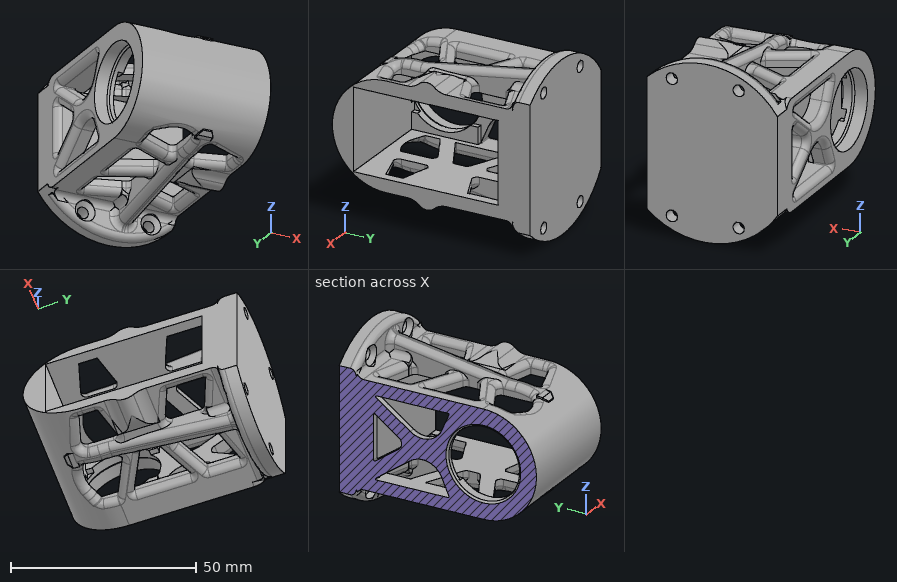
import cadquery as cq
import math

width = 39.0
total_length = 61.3
nose_radius = 16.55
rear_y = total_length - nose_radius
wall = 5.5
cavity_half_height = 12.5
cavity_front_y = -10.0
cavity_rear_y = 34.75
round_radius = 2.0
small_corner = 0.2

flange_radius = 26.0
flange_x = 21.6
flange_thickness = 5.5
flange_face_y = rear_y - flange_thickness
rear_corner_radius = 3.55
rear_corner_y = 35.75

screw_x_offset = 10.0
screw_z = 20.0
screw_diameter = 3.3
screw_head_diameter = 6.0

bearing_radius = 11.5
bore_lip_radius = 11.0
bearing_depth = 3.8
bore_chamfer_length = 0.5
bore_pad_thickness = 1.55
bore_pad_z = 7.35
bore_pad_rear_y = 10.6

rib_x = 23.25
rib_width = 4.6
rib_left = rib_x - rib_width / 2
rib_right = rib_x + rib_width / 2
rib_rear_height = 22.4
rib_front_y = -6.75
rib_front_height = 15.0
rib_tip_top = (-8.6, 14.7)
rib_tip_end = (-9.9, 13.6)
rib_tip_width = 2.6
rib_root_start_y = 31.75

boss_y = 12.7
boss_height = 2.3
boss_half_width = 6.0
boss_crest_radius = 3.55
boss_ramp_start_x = 27.7
boss_ramp_middle = (29.7, 17.95)
boss_ramp_end_x = 33.35

window_left = 8.8
window_right = 36.05
rib_corner = 1.5
top_windows = [
    [(window_left, 34.9, small_corner), (rib_left, 31.15, rib_corner),
     (rib_left, 19.6, rib_corner), (window_left, 25.5, small_corner)],
    [(window_left, 20.85, small_corner), (rib_left, 15.15, rib_corner),
     (rib_left, 10.65, rib_corner), (window_left, 4.55, small_corner)],
    [(window_left, -0.1, small_corner), (rib_left, 5.8, rib_corner),
     (rib_left, -5.65, 0.9), (15.8, -7.8, 8.6), (window_left, -4.8, small_corner)],
    [(window_right, 34.75, small_corner), (rib_right, 30.6, rib_corner),
     (rib_right, 19.3, rib_corner), (window_right, 23.7, small_corner)],
    [(window_right, 3.7, small_corner), (rib_right, 6.55, rib_corner),
     (rib_right, -4.65, rib_corner), (window_right, -1.6, small_corner)],
]
side_window_height = cavity_half_height
upper_side_window = [
    (33.8, side_window_height, small_corner), (16.2, -0.25, 6.45),
    (10.6, side_window_height, small_corner)]
rear_side_window = [(33.95, 7.2, small_corner), (23.9, 0, 2.15), (33.95, -7.2, small_corner)]


def unit(start, end):
    length = math.dist(start, end)
    return ((end[0] - start[0]) / length, (end[1] - start[1]) / length)


def rounded_polygon(plane, corners):
    """Closed outline through the corners, each rounded by its own radius."""
    outline = cq.Workplane(plane)
    for i, (u, v, radius) in enumerate(corners):
        point = (u, v)
        before = unit(point, corners[i - 1][:2])
        after = unit(point, corners[(i + 1) % len(corners)][:2])
        half_angle = math.acos(before[0] * after[0] + before[1] * after[1]) / 2
        setback = radius / math.tan(half_angle)
        to_arc = radius / math.sin(half_angle) - radius
        bisector = unit((0, 0), (before[0] + after[0], before[1] + after[1]))
        entry = (u + before[0] * setback, v + before[1] * setback)
        middle = (u + bisector[0] * to_arc, v + bisector[1] * to_arc)
        leave = (u + after[0] * setback, v + after[1] * setback)
        outline = outline.moveTo(*entry) if i == 0 else outline.lineTo(*entry)
        outline = outline.threePointArc(middle, leave)
    return outline.close()


def window_cutter(blank, prism, is_rim):
    """The material a window takes from the blank, rim rounding included."""
    pocketed = blank.cut(prism)
    rim = [edge for edge in pocketed.edges().vals() if is_rim(edge)]
    return blank.cut(pocketed.newObject(rim).fillet(round_radius))


def box(x0, x1, y0, y1, z0, z1):
    return cq.Workplane("XY").box(x1 - x0, y1 - y0, z1 - z0, centered=False).translate((x0, y0, z0))


def disc(radius, y0, y1, x=flange_x, z=0):
    return cq.Workplane("XZ", origin=(x, y1, z)).circle(radius).extrude(y1 - y0)


def make_blank():
    return (
        cq.Workplane("YZ")
        .moveTo(rear_y, nose_radius)
        .lineTo(0, nose_radius)
        .threePointArc((-nose_radius, 0), (0, -nose_radius))
        .lineTo(rear_y, -nose_radius)
        .close()
        .extrude(width)
    )


def make_rib():
    rib = (
        cq.Workplane("YZ", origin=(rib_left, 0, 0))
        .moveTo(flange_face_y + 0.6, cavity_half_height)
        .lineTo(rib_front_y, cavity_half_height)
        .lineTo(rib_front_y, rib_front_height)
        .lineTo(flange_face_y + 0.6, rib_rear_height)
        .close()
        .extrude(rib_width)
    )
    middle_y = (flange_face_y + rib_front_y) / 2
    crest = cq.selectors.BoxSelector(
        (rib_left - 0.6, middle_y - 3.05, nose_radius), (rib_right + 0.6, middle_y + 3.05, rib_rear_height))
    return rib.edges(crest).fillet(round_radius)


def make_rib_tip():
    """Blunt wedge that ends the rib on the round nose."""
    side = (
        cq.Workplane("YZ", origin=(rib_left, 0, 0))
        .moveTo(rib_front_y, cavity_half_height)
        .lineTo(rib_front_y, rib_front_height)
        .lineTo(*rib_tip_top)
        .lineTo(*rib_tip_end)
        .lineTo(rib_tip_end[0], cavity_half_height)
        .close()
        .extrude(rib_width)
    )
    footprint = (
        cq.Workplane("XY")
        .moveTo(rib_left, rib_front_y)
        .lineTo(rib_left, rib_tip_top[0])
        .lineTo(rib_x - rib_tip_width / 2, rib_tip_end[0])
        .lineTo(rib_x + rib_tip_width / 2, rib_tip_end[0])
        .lineTo(rib_right, rib_tip_top[0])
        .lineTo(rib_right, rib_front_y)
        .close()
        .extrude(nose_radius)
    )
    return side.intersect(footprint)


def make_rib_root():
    """Concave fillets from the rib flanks to the top plate, next to the flange."""
    half_width = rib_width / 2 + round_radius
    top = nose_radius + round_radius
    section = (
        cq.Workplane("XZ", origin=(rib_x, flange_face_y, 0))
        .moveTo(-half_width, cavity_half_height)
        .lineTo(-half_width, nose_radius)
        .radiusArc((-rib_width / 2, top), -round_radius)
        .lineTo(rib_width / 2, top)
        .radiusArc((half_width, nose_radius), -round_radius)
        .lineTo(half_width, cavity_half_height)
        .close()
        .extrude(flange_face_y - rib_root_start_y)
    )
    rounded_end = (
        cq.Workplane("YZ", origin=(rib_x - half_width, 0, 0))
        .moveTo(rib_root_start_y, cavity_half_height)
        .lineTo(rib_root_start_y, nose_radius)
        .radiusArc((rib_root_start_y + round_radius, top), round_radius)
        .lineTo(flange_face_y, top)
        .lineTo(flange_face_y, cavity_half_height)
        .close()
        .extrude(2 * half_width)
    )
    return section.intersect(rounded_end)


def make_flange_with_rib():
    flange = disc(flange_radius, flange_face_y, rear_y).faces("<Y").edges().fillet(round_radius)
    flange = flange.intersect(box(0, width, flange_face_y, rear_y, 0, flange_radius))
    joined = flange.union(make_rib())
    root = [
        edge for edge in joined.edges().vals()
        if abs(edge.Center().y - flange_face_y) < 0.005
        and abs(edge.Center().x - rib_x) < rib_width / 2 + 0.05
        and edge.BoundingBox().zmin > cavity_half_height - 0.6
        and edge.BoundingBox().xlen < rib_width
    ]
    return joined.newObject(root).fillet(round_radius - 0.05)


def make_root_fillet():
    return (
        cq.Workplane("YZ")
        .moveTo(flange_face_y, nose_radius)
        .lineTo(flange_face_y, nose_radius + round_radius)
        .radiusArc((flange_face_y - round_radius, nose_radius), round_radius)
        .close()
        .extrude(width)
        .intersect(disc(flange_radius, 0, rear_y))
    )


def make_boss():
    """A crest flowing into the plate along X, ramped down towards the rib."""
    radius_sum = (boss_half_width**2 + boss_height**2) / (2 * boss_height)
    flank_radius = radius_sum - boss_crest_radius
    crest_half = boss_half_width * boss_crest_radius / radius_sum
    crest_drop = boss_height * boss_crest_radius / radius_sum
    top = nose_radius + boss_height
    shoulder = top - crest_drop
    profile = (
        cq.Workplane("YZ", origin=(boss_ramp_start_x, 0, 0))
        .moveTo(boss_y - boss_half_width, nose_radius)
        .radiusArc((boss_y - crest_half, shoulder), -flank_radius)
        .threePointArc((boss_y, top), (boss_y + crest_half, shoulder))
        .radiusArc((boss_y + boss_half_width, nose_radius), -flank_radius)
        .close()
        .extrude(width - boss_ramp_start_x)
    )
    ramp = (
        cq.Workplane("XZ", origin=(0, boss_y + boss_half_width, 0))
        .moveTo(boss_ramp_start_x, nose_radius)
        .threePointArc(boss_ramp_middle, (boss_ramp_end_x, top))
        .lineTo(width, top)
        .lineTo(width, nose_radius)
        .close()
        .extrude(2 * boss_half_width)
    )
    return profile.intersect(ramp)


def make_screw_cutter(x):
    """Through hole, 90 degree countersink and head clearance."""
    sink_depth = (screw_head_diameter - screw_diameter) / 2
    hole = disc(screw_diameter / 2, flange_face_y, rear_y, x, screw_z)
    clearance = disc(screw_head_diameter / 2, flange_face_y - round_radius, flange_face_y, x, screw_z)
    sink = cq.Workplane(cq.Solid.makeCone(
        screw_head_diameter / 2, screw_diameter / 2, sink_depth,
        cq.Vector(x, flange_face_y, screw_z), cq.Vector(0, 1, 0)))
    return hole.union(sink).union(clearance)


def make_rear_corner_cutter():
    """Trims the housing to the flange disc and rounds what stands out in front of it."""
    centre_z = nose_radius - rear_corner_radius
    corner = box(0, flange_x, rear_corner_y, rear_y, centre_z, nose_radius)
    roll = (
        cq.Workplane("YZ", origin=(0, rear_corner_y, centre_z))
        .circle(rear_corner_radius)
        .extrude(flange_x)
    )
    return corner.cut(roll).cut(disc(flange_radius, rear_corner_y, rear_y))


def make_top_window_cutter(blank, corners):
    prism = rounded_polygon("XY", corners).extrude(nose_radius)
    prism = prism.intersect(box(0, width, -nose_radius, rear_y, cavity_half_height, nose_radius))
    bounds = prism.val().BoundingBox()

    def is_rim(edge):
        above_floor = edge.BoundingBox().zmin > cavity_half_height + 0.05
        return above_floor and bounds.xmin - 0.05 < edge.Center().x < bounds.xmax + 0.05

    return window_cutter(blank, prism, is_rim)


def make_side_window_cutter(blank, corners):
    prism = rounded_polygon("YZ", corners).extrude(wall)
    bounds = prism.val().BoundingBox()

    def is_rim(edge):
        on_side = edge.BoundingBox().xmax < 0.005
        inside_y = bounds.ymin - 0.05 < edge.Center().y < bounds.ymax + 0.05
        return on_side and inside_y and abs(edge.Center().z) < side_window_height + 0.05

    return window_cutter(blank, prism, is_rim)


def make_bore_cutter():
    step = bearing_depth + bore_chamfer_length
    return (
        cq.Workplane("XY")
        .lineTo(0, bearing_radius)
        .lineTo(bearing_depth, bearing_radius)
        .lineTo(step, bore_lip_radius)
        .lineTo(width, bore_lip_radius)
        .lineTo(width, 0)
        .close()
        .revolve(360, (0, 0, 0), (1, 0, 0))
        .intersect(box(0, wall + bore_pad_thickness, -nose_radius, nose_radius, -nose_radius, nose_radius))
    )


blank = make_blank()

upper = blank.intersect(box(0, width, -nose_radius, rear_y, 0, nose_radius))
upper = upper.cut(make_rear_corner_cutter())
upper = upper.union(make_root_fillet()).union(make_boss())
for corners in top_windows:
    upper = upper.cut(make_top_window_cutter(blank, corners))
upper = upper.union(make_flange_with_rib()).union(make_rib_tip()).union(make_rib_root())
for side in (-1, 1):
    upper = upper.cut(make_screw_cutter(flange_x + side * screw_x_offset))
upper = upper.cut(make_side_window_cutter(blank, upper_side_window))
result = upper.union(upper.mirror("XY"))

result = result.cut(box(
    wall, width, cavity_front_y, cavity_rear_y, -cavity_half_height, cavity_half_height))
for bottom, top in ((-cavity_half_height, -bore_pad_z), (bore_pad_z, cavity_half_height)):
    result = result.union(box(
        wall, wall + bore_pad_thickness, cavity_front_y, bore_pad_rear_y, bottom, top))
result = result.cut(make_side_window_cutter(blank, rear_side_window))
result = result.cut(make_bore_cutter())